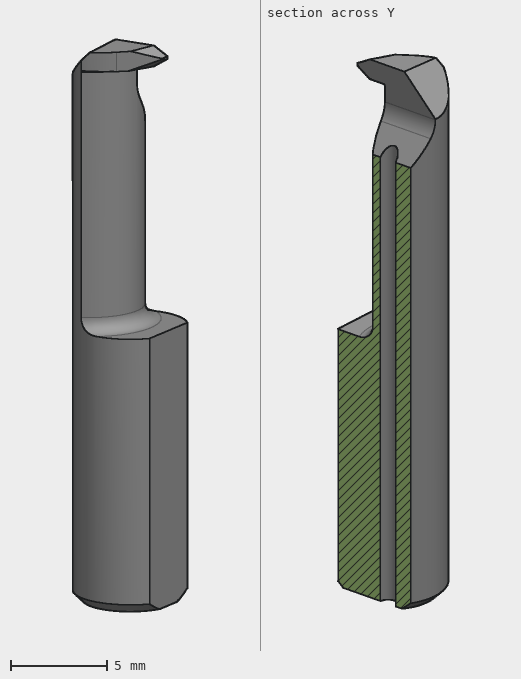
import cadquery as cq
import math

length = 30.0
shank_radius = 3.0
flat_x = 2.35
base_chamfer = 0.5
ledge_z = 14.8

neck_front_x = 0.42
neck_edge_x = -1.35
neck_edge_y = math.sqrt(shank_radius**2 - neck_edge_x**2)
neck_depth = neck_front_x - neck_edge_x
neck_radius = (neck_edge_y**2 + neck_depth**2) / (2 * neck_depth)
neck_center_x = neck_front_x - neck_radius
root_fillet = 0.8
head_fillet = 0.1

head_height = 1.15
head_start_x = -2.7
land_top_x = 1.45
land_bottom_x = 1.45
tip_x = 2.28
tip_drop = 0.55
tip_width = 0.15
relief_angle = 3.0
tip_relief_angle = 13.0
clearance_bend = (0.3, -1.9)
clearance_arc_middle = (-0.48, -2.4)
clearance_tip_y = -0.33
back_bevel = 2.1

flute_start_z = length - 2.13
flute_radius = 1.5
flute_angle = 40.0
hole_diameter = 1.02
hole_x = -1.05
hole_y = 1.5


def make_shank():
    """Full-length round bar, chamfered at its base."""
    bar = cq.Workplane("XY").circle(shank_radius).extrude(length)
    return bar.faces("<Z").chamfer(base_chamfer)


def make_flat():
    """Stock beyond the flat."""
    side = 2 * shank_radius
    return cq.Workplane("XY").box(side, side, length, centered=(False, True, False)).translate((flat_x, 0, 0))


def make_neck_envelope():
    """Body of revolution about the neck axis: lower block, root, neck and head fillet."""
    outer_radius = 3 * shank_radius
    root_radius = neck_radius + root_fillet
    root_top_z = ledge_z + root_fillet
    bend = root_fillet * math.sqrt(0.5)
    head_z = length - head_height
    head_bend = head_fillet * math.sqrt(0.5)
    profile = (
        cq.Workplane("XZ")
        .moveTo(0, 0)
        .lineTo(outer_radius, 0)
        .lineTo(outer_radius, ledge_z)
        .lineTo(root_radius, ledge_z)
        .threePointArc((root_radius - bend, root_top_z - bend), (neck_radius, root_top_z))
        .lineTo(neck_radius, head_z - head_fillet)
        .threePointArc(
            (neck_radius + head_fillet - head_bend, head_z - head_fillet + head_bend),
            (neck_radius + head_fillet, head_z),
        )
        .lineTo(neck_radius, head_z)
        .lineTo(neck_radius, length)
        .lineTo(0, length)
        .close()
    )
    return profile.revolve(360, (0, 0, 0), (0, 1, 0)).translate((neck_center_x, 0, 0))


def make_head():
    """Cutting head: bar with the clearance outline in plan, ending in a relieved tip."""
    tip_z = length - tip_drop

    top_slope = (tip_drop - tip_width / 2) / (tip_x - land_top_x)
    bottom_slope = (head_height - tip_drop - tip_width / 2) / (tip_x - land_bottom_x)
    run = tip_x - head_start_x
    tip_points = [
        (head_start_x, tip_z - tip_width / 2 - bottom_slope * run),
        (tip_x, tip_z - tip_width / 2),
        (tip_x, tip_z + tip_width / 2),
        (head_start_x, tip_z + tip_width / 2 + top_slope * run),
    ]
    tip = cq.Workplane("XZ").polyline(tip_points).close().extrude(shank_radius, taper=tip_relief_angle)
    bar = (
        cq.Workplane("XY", origin=(0, 0, length - head_height))
        .moveTo(neck_edge_x, 0)
        .lineTo(tip_x, 0)
        .lineTo(tip_x, clearance_tip_y)
        .lineTo(*clearance_bend)
        .threePointArc(clearance_arc_middle, (neck_edge_x, -neck_edge_y))
        .close()
        .extrude(head_height)
    )
    return bar.intersect(tip)


def make_top_stock():
    """Stock above the top and its 45 degree back bevel, tilted to fall away towards -Y."""
    margin = shank_radius
    stock = (
        cq.Workplane("XZ")
        .polyline([
            (-shank_radius - margin, length - back_bevel - margin),
            (-shank_radius + back_bevel, length),
            (shank_radius, length),
            (shank_radius, length + margin),
            (-shank_radius - margin, length + margin),
        ])
        .close()
        .extrude(shank_radius + margin)
    )
    return stock.rotate((0, 0, length), (1, 0, length), relief_angle)


def make_flute():
    """Stock in front of the rake plane, running out along a rounded slope."""
    angle = math.radians(flute_angle)

    def on_arc(turn):
        return (flute_radius * (1 - math.cos(turn)), flute_start_z - flute_radius * math.sin(turn))

    slope_y, slope_z = on_arc(angle)
    end_y = shank_radius + 0.3
    end_z = slope_z - (end_y - slope_y) / math.tan(angle)
    return (
        cq.Workplane("YZ")
        .moveTo(0, length)
        .lineTo(0, flute_start_z)
        .threePointArc(on_arc(angle / 2), (slope_y, slope_z))
        .lineTo(end_y, end_z)
        .lineTo(end_y, length)
        .close()
        .extrude(2 * shank_radius, both=True)
    )


def make_coolant_hole():
    """Straight hole through the whole length."""
    return cq.Workplane("XY").center(hole_x, hole_y).circle(hole_diameter / 2).extrude(length)


body = make_shank().cut(make_flat()).intersect(make_neck_envelope())
body = body.union(make_head()).cut(make_top_stock())
result = body.cut(make_flute()).cut(make_coolant_hole())